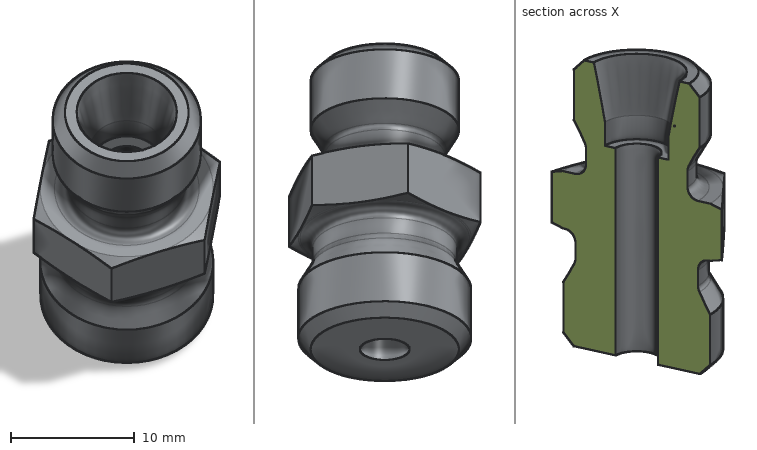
import cadquery as cq
import math

total_length = 25.0
hex_bottom = 10.0
hex_top = 15.0

across_flats = 14.0
across_corners = across_flats / math.cos(math.radians(30))
hex_chamfer_angle = math.radians(15)

upper_diameter = 12.0
lower_diameter = 14.0
end_chamfer = 1.0
undercut_width = 4.62
undercut_depth_on_diameter = 2.3
undercut_radius = 1.0
undercut_run_out = math.radians(30)

bore_diameter = 4.0
socket_diameter = 6.0
socket_depth = 7.0
socket_mouth_diameter = 8.1
socket_half_angle = math.radians(12)


def threaded_end(diameter, length):
    """Turned end rising from Z = 0, with its undercut next to the hexagon."""
    radius = diameter / 2
    groove_radius = (diameter - undercut_depth_on_diameter) / 2

    arc_end_radius = groove_radius + undercut_radius * (1 - math.cos(undercut_run_out))
    cone_length = (radius - arc_end_radius) / math.tan(undercut_run_out)
    arc_end = undercut_width - cone_length
    arc_start = arc_end - undercut_radius * math.sin(undercut_run_out)
    half_turn = undercut_run_out / 2
    arc_middle = (
        groove_radius + undercut_radius * (1 - math.cos(half_turn)),
        arc_start + undercut_radius * math.sin(half_turn),
    )

    fillet_middle = (
        groove_radius + undercut_radius * (1 - math.sin(math.pi / 4)),
        undercut_radius * (1 - math.sin(math.pi / 4)),
    )
    return (
        cq.Workplane("XZ")
        .lineTo(groove_radius + undercut_radius, 0)
        .threePointArc(fillet_middle, (groove_radius, undercut_radius))
        .lineTo(groove_radius, arc_start)
        .threePointArc(arc_middle, (arc_end_radius, arc_end))
        .lineTo(radius, undercut_width)
        .lineTo(radius, length - end_chamfer)
        .lineTo(radius - end_chamfer, length)
        .lineTo(0, length)
        .close()
        .revolve(360, (0, 0, 0), (0, 1, 0))
    )


def hexagon():
    """Hexagon with corners on the Y axis, chamfered on both end faces."""
    prism = (
        cq.Workplane("XY")
        .workplane(offset=hex_bottom)
        .polygon(6, across_corners)
        .extrude(hex_top - hex_bottom)
        .rotate((0, 0, 0), (0, 0, 1), 30)
    )
    face_radius = across_flats / 2
    corner_radius = across_corners / 2
    corner_drop = (corner_radius - face_radius) * math.tan(hex_chamfer_angle)
    chamfer_envelope = (
        cq.Workplane("XZ")
        .moveTo(0, hex_bottom)
        .lineTo(face_radius, hex_bottom)
        .lineTo(corner_radius, hex_bottom + corner_drop)
        .lineTo(corner_radius, hex_top - corner_drop)
        .lineTo(face_radius, hex_top)
        .lineTo(0, hex_top)
        .close()
        .revolve(360, (0, 0, 0), (0, 1, 0))
    )
    return prism.intersect(chamfer_envelope)


def bore():
    """Through bore opening into a tapered tube socket at the top."""
    mouth_radius = socket_mouth_diameter / 2
    socket_radius = socket_diameter / 2
    taper_depth = (mouth_radius - socket_radius) / math.tan(socket_half_angle)
    socket_floor = total_length - socket_depth
    return (
        cq.Workplane("XZ")
        .lineTo(bore_diameter / 2, 0)
        .lineTo(bore_diameter / 2, socket_floor)
        .lineTo(socket_radius, socket_floor)
        .lineTo(socket_radius, total_length - taper_depth)
        .lineTo(mouth_radius, total_length)
        .lineTo(0, total_length)
        .close()
        .revolve(360, (0, 0, 0), (0, 1, 0))
    )


upper_end = threaded_end(upper_diameter, total_length - hex_top).translate((0, 0, hex_top))
lower_end = (
    threaded_end(lower_diameter, hex_bottom)
    .rotate((0, 0, 0), (1, 0, 0), 180)
    .translate((0, 0, hex_bottom))
)

result = hexagon().union(upper_end).union(lower_end).cut(bore())